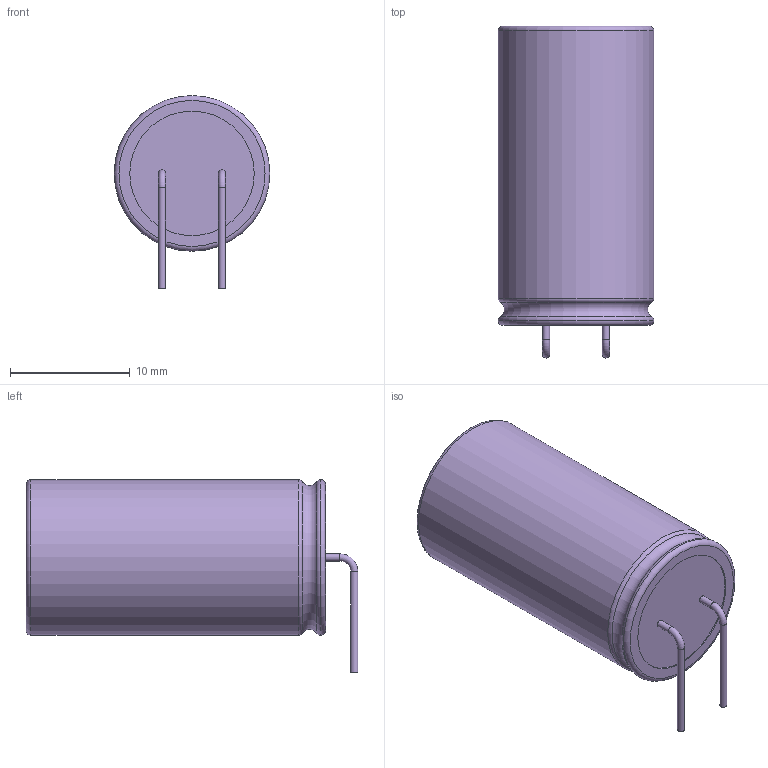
import cadquery as cq
import math


can_length = 25.0
can_radius = 13.0 / 2
edge_radius = 0.4

groove_position = 1.33
groove_radius = 12.0 / 2

seal_radius = 10.4 / 2
seal_depth = 0.1

lead_radius = 0.6 / 2
lead_spacing = 5.0
lead_straight = 1.2
lead_bend_radius = 1.2
lead_drop = 9.6

round_center_radius = can_radius - edge_radius
round_offset = groove_position - edge_radius
round_height = round_center_radius - groove_radius
groove_arc_radius = (round_offset**2 + round_height**2 - edge_radius**2) / (2 * (edge_radius + round_height))
groove_arc_center = groove_radius + groove_arc_radius
tangent_angle = math.atan2(groove_arc_center - round_center_radius, round_offset)


def point_on_round(center_y, angle):
    """Point (radius, y) on an edge round; the angle runs from +Y towards the outside."""
    return (
        round_center_radius + edge_radius * math.sin(angle),
        center_y + edge_radius * math.cos(angle),
    )


def make_can():
    """Revolve the can half-profile, drawn as (radius, y), about the Y axis."""
    front_round_y = edge_radius
    groove_round_y = groove_position + round_offset
    back_round_y = can_length - edge_radius
    diagonal = math.pi / 4
    outward = math.pi / 2
    groove_side = math.pi - tangent_angle
    profile = (
        cq.Workplane("XY")
        .lineTo(round_center_radius, 0)
        .threePointArc(
            point_on_round(front_round_y, outward + diagonal),
            point_on_round(front_round_y, outward),
        )
        .threePointArc(
            point_on_round(front_round_y, (outward + tangent_angle) / 2),
            point_on_round(front_round_y, tangent_angle),
        )
        .threePointArc((groove_radius, groove_position), point_on_round(groove_round_y, groove_side))
        .threePointArc(
            point_on_round(groove_round_y, (groove_side + outward) / 2),
            point_on_round(groove_round_y, outward),
        )
        .lineTo(can_radius, back_round_y)
        .threePointArc(
            point_on_round(back_round_y, diagonal),
            (round_center_radius, can_length),
        )
        .lineTo(0, can_length)
        .close()
    )
    return profile.revolve(360, (0, 0), (0, 1))


def make_seal_recess():
    """Disc to be removed from the sealed end."""
    return cq.Workplane("XZ").circle(seal_radius).extrude(-seal_depth)


def make_lead(x):
    """Round wire leaving the seal along -Y and bending a quarter turn down to -Z."""
    bend_start_y = -lead_straight
    drop_y = bend_start_y - lead_bend_radius
    path = (
        cq.Workplane("YZ", origin=(x, 0, 0))
        .moveTo(seal_depth, 0)
        .lineTo(bend_start_y, 0)
        .tangentArcPoint((drop_y, -lead_bend_radius), relative=False)
        .lineTo(drop_y, -lead_drop)
    )
    return cq.Workplane("XZ", origin=(x, seal_depth, 0)).circle(lead_radius).sweep(path)


result = make_can().cut(make_seal_recess())
for side in (-1, 1):
    result = result.union(make_lead(side * lead_spacing / 2))